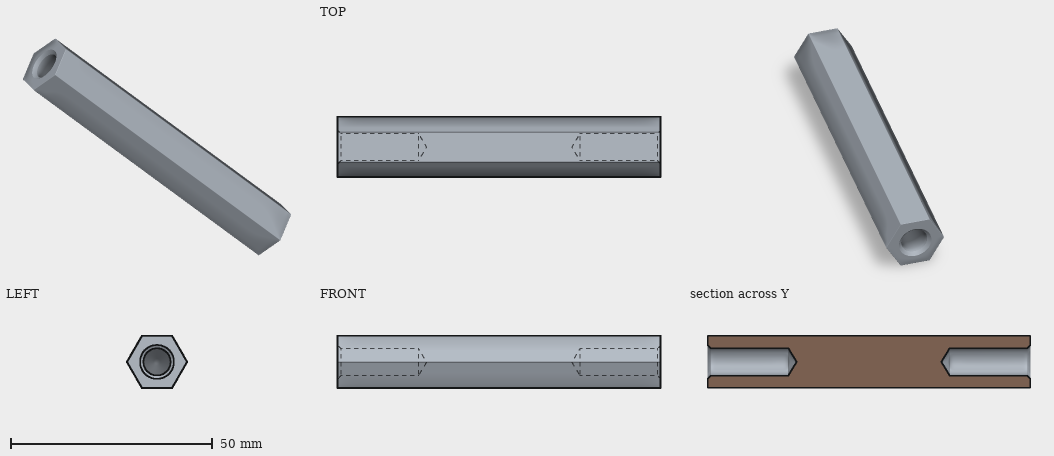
import cadquery as cq
import math

length = 80.0
across_flats = 13.0
across_corners = across_flats / math.cos(math.radians(30))
edge_radius = 0.1

hole_diameter = 6.7
countersink_diameter = 8.4
countersink_angle = 90.0
hole_depth = 20.0
drill_point_angle = 118.0


def cone_height(radial_step, included_angle):
    """Axial length over which a cone's radius changes by radial_step."""
    return radial_step / math.tan(math.radians(included_angle / 2))


def hexagonal_bar():
    """Bar from X = 0 to X = length, with flats facing +Z and -Z."""
    bar = cq.Workplane("YZ").polygon(6, across_corners).extrude(length)
    return bar.edges().fillet(edge_radius)


def drilled_hole():
    """Cutter for the hole that opens at X = 0 and runs along +X."""
    hole_radius = hole_diameter / 2
    mouth_radius = countersink_diameter / 2
    countersink_depth = cone_height(mouth_radius - hole_radius, countersink_angle)
    tip_length = cone_height(hole_radius, drill_point_angle)
    return (
        cq.Workplane("XY")
        .moveTo(0, 0)
        .lineTo(0, mouth_radius)
        .lineTo(countersink_depth, hole_radius)
        .lineTo(hole_depth, hole_radius)
        .lineTo(hole_depth + tip_length, 0)
        .close()
        .revolve(360, (0, 0, 0), (1, 0, 0))
    )


near_hole = drilled_hole()
far_hole = near_hole.mirror("YZ").translate((length, 0, 0))
result = hexagonal_bar().cut(near_hole).cut(far_hole)